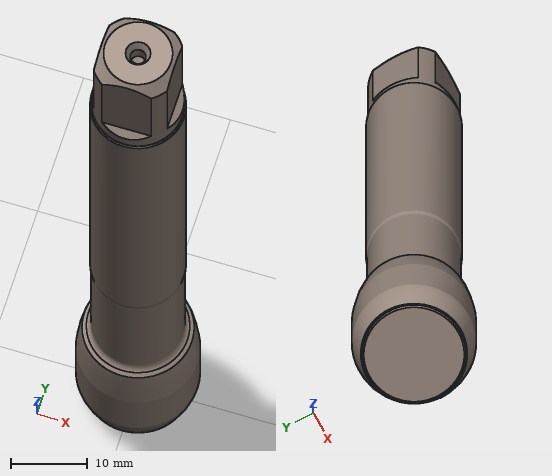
import cadquery as cq
import math

total_length = 102.0
drive_radius = 12.0 / 2
body_radius = 12.5 / 2
neck_radius = 12.2 / 2
core_radius = 6.7
core_end_radius = 6.5

body_top_z = 86.4
body_top_chamfer = 0.2
body_bottom_z = 37.5
neck_top_z = 36.7
flare_top_z = 19.5
flare_bottom_z = 18.4
flare_hollow = 0.12

drive_across_flats = 10.0
flat_bottom_z = 88.9
runout_height = 0.8
top_chamfer = 1.5

centre_hole_diameter = 2.0
centre_hole_depth = 3.1
countersink_diameter = 3.3
countersink_angle = 60.0
drill_tip_angle = 118.0

head_radius = 16.2 / 2
head_rim_radius = 7.29
head_end_radius = 6.9
head_bottom_z = 0.3
band_bottom_z = 4.4
band_top_z = 12.1
head_rim_z = 18.0
barrel_bulge = 0.15


def revolve_profile(profile):
    """Turn a closed (radius, z) outline around the Z axis."""
    return profile.close().revolve(360, (0, 0, 0), (0, 1, 0))


def bulged_midpoint(start, end):
    """Point halfway along an edge, pushed outward from the axis to make a shallow arc."""
    return ((start[0] + end[0]) / 2 + barrel_bulge, (start[1] + end[1]) / 2)


def make_centre_hole():
    """Countersunk hole with a conical drill tip, as a solid to cut away."""
    hole_radius = centre_hole_diameter / 2
    sink_radius = countersink_diameter / 2
    sink_depth = (sink_radius - hole_radius) / math.tan(math.radians(countersink_angle / 2))
    tip_depth = hole_radius / math.tan(math.radians(drill_tip_angle / 2))
    hole_floor_z = total_length - centre_hole_depth
    return revolve_profile(
        cq.Workplane("XZ")
        .moveTo(0, total_length)
        .lineTo(sink_radius, total_length)
        .lineTo(hole_radius, total_length - sink_depth)
        .lineTo(hole_radius, hole_floor_z)
        .lineTo(0, hole_floor_z - tip_depth)
    )


def make_drive_cutter():
    """Ring that leaves a square drive with flats running out on short slopes."""
    runout = drive_radius - drive_across_flats / 2
    height = total_length - flat_bottom_z
    outer_size = 2 * body_radius
    square = (
        cq.Workplane("XY", origin=(0, 0, flat_bottom_z))
        .rect(drive_across_flats, drive_across_flats)
        .extrude(height)
    )
    slope_end_size = drive_across_flats + 2 * runout
    slope = (
        cq.Workplane("XY", origin=(0, 0, flat_bottom_z - runout_height))
        .rect(slope_end_size, slope_end_size)
        .workplane(offset=runout_height)
        .rect(drive_across_flats, drive_across_flats)
        .loft(ruled=True)
    )
    block = (
        cq.Workplane("XY", origin=(0, 0, flat_bottom_z - runout_height))
        .rect(outer_size, outer_size)
        .extrude(height + runout_height)
    )
    return block.cut(square).cut(slope)


def make_shank():
    """Rod with a square drive on top and a core running down through the head."""
    flare_midpoint = (
        (core_radius + neck_radius) / 2 - flare_hollow,
        (flare_bottom_z + flare_top_z) / 2 - flare_hollow,
    )
    rod = revolve_profile(
        cq.Workplane("XZ")
        .moveTo(0, 0)
        .lineTo(core_end_radius, 0)
        .lineTo(core_radius, head_bottom_z)
        .lineTo(core_radius, flare_bottom_z)
        .threePointArc(flare_midpoint, (neck_radius, flare_top_z))
        .lineTo(neck_radius, neck_top_z)
        .lineTo(body_radius, body_bottom_z)
        .lineTo(body_radius, body_top_z - body_top_chamfer)
        .lineTo(body_radius - body_top_chamfer, body_top_z)
        .lineTo(drive_radius, body_top_z)
        .lineTo(drive_radius, total_length - top_chamfer)
        .lineTo(drive_radius - top_chamfer, total_length)
        .lineTo(0, total_length)
    )
    return rod.cut(make_drive_cutter()).cut(make_centre_hole())


def make_head():
    """Sleeve with a cylindrical band between two shallow convex tapers."""
    lower_end = (head_end_radius, head_bottom_z)
    band_bottom = (head_radius, band_bottom_z)
    band_top = (head_radius, band_top_z)
    rim = (head_rim_radius, head_rim_z)
    return revolve_profile(
        cq.Workplane("XZ")
        .moveTo(core_radius, head_bottom_z)
        .lineTo(*lower_end)
        .threePointArc(bulged_midpoint(lower_end, band_bottom), band_bottom)
        .lineTo(*band_top)
        .threePointArc(bulged_midpoint(band_top, rim), rim)
        .lineTo(core_radius, flare_bottom_z)
    )


shank = make_shank()
head = make_head()

result = cq.Compound.makeCompound([shank.val(), head.val()])